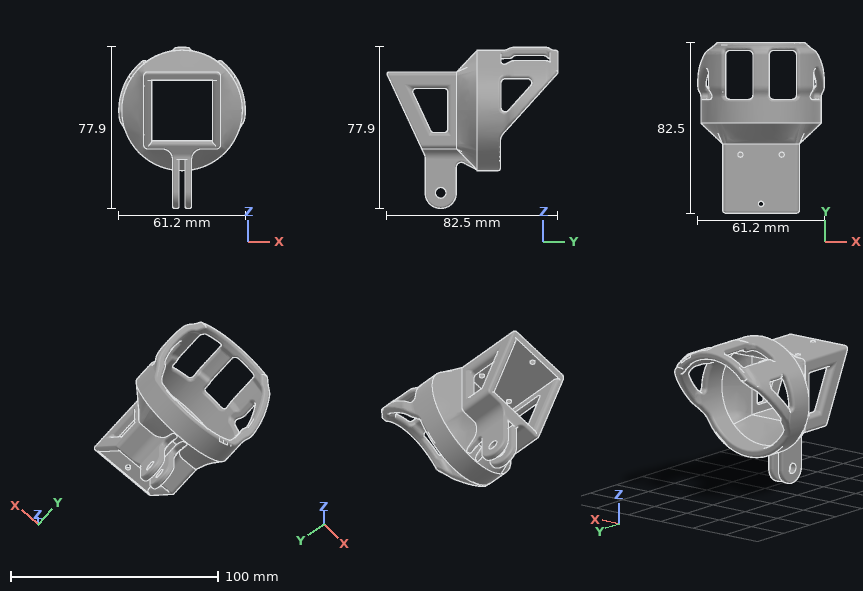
import cadquery as cq
import math


bore_radius = 50.15 / 2
collar_radius = 58.15 / 2
wall = collar_radius - bore_radius
cage_step = 1.5
collar_front = 10.0
collar_back = 21.3
cage_end = 49.0
outer_swell_start = 22.2
outer_swell_length = 5.8
outer_fall_length = 4.45
outer_fall_end = 47.4
inner_swell_start = 25.4
inner_swell_length = 3.3
inner_fall_length = 3.3
inner_fall_end = 45.35
rim_round = 1.3

cut_slope = math.tan(math.radians(48))
cut_height_at_end = 18.15
cut_root_radius = 4.95

window_front = 21.5
window_corner = 2.0
top_window_inner = wall
top_window_outer = 17.0
top_window_back = cage_end - wall
side_window_top = 15.25
side_window_tip = 38.7

box_half = 18.55
box_corner = 2.0
box_inner_half = box_half - wall
mouth_angle = math.radians(25)
mouth_tip = 34.1
mouth_outer_round = 1.0
mouth_inner_round = 2.0

box_window_half = 10.55
box_window_back = -4.3
box_window_mullion = 8.5
box_window_round = 2.0
box_window_corner = 1.5

screw_diameter = 2.5
rear_screw_x = 10.0
rear_screw_y = -5.2
front_screw_y = -28.95

lug_half = 4.6
lug_gap = 2.8
lug_radius = 7.6
lug_eye_z = -39.71
lug_eye_diameter = 5.0
lug_flare = 5.0
lug_front_bend = 4.1
lug_back_bend = 2.3
prong_round = 1.0
lug_front = -2 * lug_radius
lug_root_z = -box_half - lug_flare

far = 82.5
tiny = 0.001
close_by = 0.1


def cut_z(y):
    """Height of the slanted cage cut at position y."""
    return cut_height_at_end - (cage_end - y) * cut_slope


def mouth_y(z):
    """Position of the slanted box mouth at height z."""
    return -mouth_tip + (box_half - z) * math.tan(mouth_angle)


def side_prism(points, half_width):
    """Prism centred on X = 0 from an outline of (y, z) points."""
    return cq.Workplane("YZ").polyline(points).close().extrude(half_width, both=True)


def near(x, y, z):
    """Selector for the item whose centre is nearest to a point."""
    return cq.selectors.NearestToPointSelector((x, y, z))


def swelling_solid(radius, swell_start, swell_length, fall_length, fall_end):
    """Round solid about Y that widens by cage_step and narrows again in smooth S-bends."""
    middle = radius + cage_step / 2
    widest = radius + cage_step
    outline = (
        cq.Workplane("YZ")
        .moveTo(collar_front, 0)
        .lineTo(collar_front, -radius)
        .lineTo(swell_start, -radius)
        .tangentArcPoint((swell_start + swell_length / 2, -middle), relative=False)
        .tangentArcPoint((swell_start + swell_length, -widest), relative=False)
        .lineTo(fall_end - fall_length, -widest)
        .tangentArcPoint((fall_end - fall_length / 2, -middle), relative=False)
        .tangentArcPoint((fall_end, -radius), relative=False)
        .lineTo(cage_end, -radius)
        .lineTo(cage_end, 0)
        .close()
    )
    return outline.revolve(360, (0, 0, 0), (1, 0, 0))


def underside_cutter():
    root = (collar_back, cut_z(collar_back))
    cutter = side_prism([(collar_back, -far), root, (far, cut_z(far)), (far, -far)], far)
    return cutter.edges(near(0, *root)).fillet(cut_root_radius)


def top_window_cutter(side):
    width = top_window_outer - top_window_inner
    length = top_window_back - window_front
    return (
        cq.Workplane("XY")
        .center(side * (top_window_inner + width / 2), window_front + length / 2)
        .rect(width, length)
        .extrude(far)
        .edges("|Z")
        .fillet(window_corner)
    )


def side_window_cutter():
    bottom = side_window_top - (side_window_tip - window_front) * cut_slope
    corners = [(window_front, bottom), (window_front, side_window_top), (side_window_tip, side_window_top)]
    return side_prism(corners, far).edges("|X").fillet(window_corner)


def is_cage_rim(edge):
    """True for the sharp rims of the cage, False for its smooth bends and window corners."""
    bends = [collar_front]
    for share in (0, 0.5, 1):
        bends += [
            outer_swell_start + share * outer_swell_length,
            outer_fall_end - share * outer_fall_length,
            inner_swell_start + share * inner_swell_length,
            inner_fall_end - share * inner_fall_length,
        ]
    box = edge.BoundingBox()
    across = box.ylen < tiny
    on_bend = across and any(abs(box.center.y - bend) < tiny for bend in bends)
    straight = edge.geomType() == "LINE"
    on_seam = straight and abs(box.center.x) < tiny
    return not (on_bend or on_seam or (straight and across))


def make_cage():
    cage = swelling_solid(
        collar_radius, outer_swell_start, outer_swell_length, outer_fall_length, outer_fall_end
    )
    bore = swelling_solid(
        bore_radius, inner_swell_start, inner_swell_length, inner_fall_length, inner_fall_end
    )
    cage = cage.cut(bore).cut(underside_cutter()).cut(side_window_cutter())
    for side in (-1, 1):
        cage = cage.cut(top_window_cutter(side))
    rims = [edge for edge in cage.edges().vals() if is_cage_rim(edge)]
    return cage.newObject(rims).fillet(rim_round)


def transition(radius, half, corner):
    """Straight-sided transition from the round collar to a square at the back of the box."""
    square = cq.Sketch().rect(2 * half, 2 * half)
    if corner:
        square = square.vertices().fillet(corner)
    circle = cq.Sketch().circle(radius).moved(cq.Location(cq.Vector(0, 0, -collar_front)))
    return cq.Workplane("XZ").placeSketch(square, circle).loft(ruled=True)


def box_block():
    outline = [(0, -box_half), (0, box_half), (-mouth_tip, box_half), (mouth_y(-box_half), -box_half)]
    return side_prism(outline, box_half).edges("|Y").fillet(box_corner)


def lug_block():
    """Lug flared into the box floor, with a gusset under the transition, before it is slotted."""
    flare_reach = lug_half + lug_flare
    top = -box_half + wall / 2
    section = (
        cq.Workplane("XZ")
        .moveTo(-lug_half, -far)
        .lineTo(-lug_half, lug_root_z)
        .radiusArc((-flare_reach, -box_half), -lug_flare)
        .lineTo(-flare_reach, top)
        .lineTo(flare_reach, top)
        .lineTo(flare_reach, -box_half)
        .radiusArc((lug_half, lug_root_z), -lug_flare)
        .lineTo(lug_half, -far)
        .close()
        .extrude(far, both=True)
    )
    bend_z = box_half - (lug_front + mouth_tip) / math.tan(mouth_angle)
    gusset_z = -math.sqrt(collar_radius**2 - lug_half**2)
    side = (
        cq.Workplane("YZ")
        .moveTo(mouth_y(top), top)
        .lineTo(lug_front, bend_z)
        .lineTo(lug_front, lug_eye_z)
        .threePointArc((-lug_radius, lug_eye_z - lug_radius), (0, lug_eye_z))
        .lineTo(0, lug_root_z)
        .lineTo(collar_front, gusset_z)
        .lineTo(collar_front, top)
        .close()
        .extrude(far, both=True)
    )
    side = side.edges(near(0, lug_front, bend_z)).fillet(lug_front_bend)
    side = side.edges(near(0, 0, lug_root_z)).fillet(lug_back_bend)
    return section.intersect(side)


def is_mount_outline(edge):
    """True for the outer rim of the mouth and for the side outlines of the lug."""
    front_bend_bulge = 0.5
    middle = edge.positionAt(0.5)
    below_box = middle.z < -box_half
    in_mouth = abs(middle.y - mouth_y(middle.z)) < close_by / 2
    at_lug_front = abs(middle.y - lug_front) < front_bend_bulge
    on_front = at_lug_front and abs(middle.x) > lug_half - close_by / 10 and below_box
    on_lug = middle.z < lug_root_z - close_by and middle.y < collar_front - close_by
    across_lug = abs(middle.x) < close_by / 10 and middle.z < -box_half - close_by
    return (in_mouth or on_front or on_lug) and not across_lug


def is_prong_inner_edge(edge):
    """True for the outlines of the prongs along the slot."""
    middle = edge.positionAt(0.5)
    on_slot = abs(abs(middle.x) - lug_gap / 2) < close_by / 10
    return on_slot and middle.z < lug_root_z - close_by and middle.y < close_by


def make_mount():
    """Solid box and lug, with the lug slotted into two prongs and drilled."""
    mount = box_block().union(lug_block())
    outlines = [edge for edge in mount.edges().vals() if is_mount_outline(edge)]
    mount = mount.newObject(outlines).fillet(mouth_outer_round)
    slot = cq.Workplane("XY").box(lug_gap, far, far, centered=(True, True, False))
    mount = mount.cut(slot.translate((0, 0, lug_root_z - far)))
    inner = [edge for edge in mount.edges().vals() if is_prong_inner_edge(edge)]
    mount = mount.newObject(inner).fillet(prong_round)
    eye = cq.Workplane("YZ").center(-lug_radius, lug_eye_z).circle(lug_eye_diameter / 2)
    return mount.cut(eye.extrude(far, both=True))


def hollow_box(body):
    """Square passage through the box, opened to the collar, with a rounded mouth."""
    passage = cq.Workplane("XY").box(2 * box_inner_half, 2 * far, 2 * box_inner_half)
    body = body.cut(transition(bore_radius, box_inner_half, 0))
    body = body.cut(passage.translate((0, -far, 0)))
    rim_spots = [(-box_inner_half, 0), (box_inner_half, 0), (0, -box_inner_half)]
    rims = [body.edges(near(x, mouth_y(z), z)).val() for x, z in rim_spots]
    return body.newObject(rims).fillet(mouth_inner_round)


def cut_box_windows(body):
    """Four-sided windows in both box walls, with rounded outer rims and rounded corners."""
    corners = [
        (box_window_back, -box_window_half),
        (box_window_back, box_window_half),
        (mouth_y(box_window_half) + box_window_mullion, box_window_half),
        (mouth_y(-box_window_half) + box_window_mullion, -box_window_half),
    ]
    body = body.cut(side_prism(corners, far))
    next_corners = corners[1:] + corners[:1]
    middles = [((y1 + y2) / 2, (z1 + z2) / 2) for (y1, z1), (y2, z2) in zip(corners, next_corners)]
    outer_x = (-box_half, box_half)
    rims = [body.edges(near(x, y, z)).val() for x in outer_x for y, z in middles]
    body = body.newObject(rims).fillet(box_window_round)

    straight_x = (box_inner_half + box_half - box_window_round) / 2
    corner_x = (-straight_x, straight_x)
    corner_edges = [body.edges(near(x, y, z)).val() for x in corner_x for y, z in corners]
    return body.newObject(corner_edges).fillet(box_window_corner)


def drill_roof(body):
    spots = [(-rear_screw_x, rear_screw_y), (rear_screw_x, rear_screw_y), (0, front_screw_y)]
    drill = cq.Workplane("XY").pushPoints(spots).circle(screw_diameter / 2).extrude(far)
    return body.cut(drill)


result = transition(collar_radius, box_half, box_corner).union(make_mount())
result = hollow_box(result)
result = cut_box_windows(result)
result = drill_roof(result)
result = result.union(make_cage())